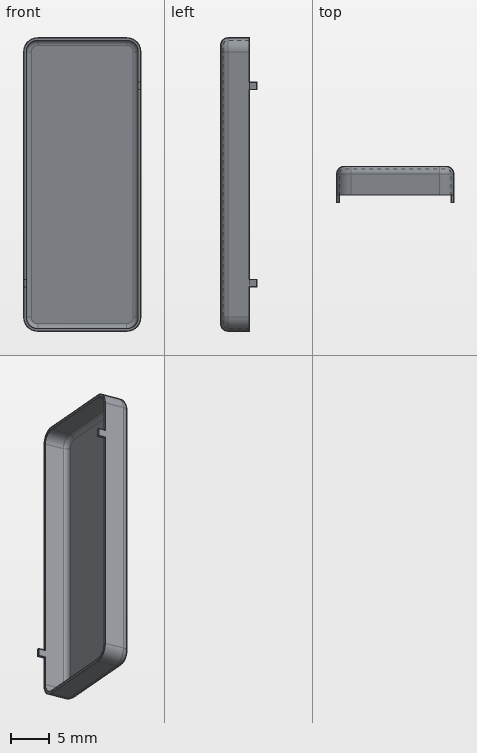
import cadquery as cq

width = 15.1
height = 37.8
total_depth = 4.7

wall = 0.35
corner_radius = 1.8
back_edge_radius = 1.0

tab_length = 1.0
tab_height = 1.0
tab_end_distance = 6.2

tray_depth = total_depth - tab_length
back_y = total_depth / 2
rim_y = back_y - tray_depth


def rounded_block(inset):
    """Block from the rim to the back, inset from the outer faces, with rounded corners and back edge."""
    return (
        cq.Workplane("XZ", origin=(0, rim_y, 0))
        .rect(width - 2 * inset, height - 2 * inset)
        .extrude(-(tray_depth - inset))
        .edges("|Y")
        .fillet(corner_radius - inset)
        .faces(">Y")
        .edges()
        .fillet(back_edge_radius - inset)
    )


def tab(side):
    """Tab on the rim: side +1 is high on the +X wall, side -1 is low on the -X wall."""
    x = side * (width - wall) / 2
    z = side * (height / 2 - tab_end_distance)
    return (
        cq.Workplane("XZ", origin=(x, rim_y, z))
        .rect(wall, tab_height)
        .extrude(tab_length)
    )


tray = rounded_block(0).cut(rounded_block(wall))

result = tray
for side in (-1, 1):
    result = result.union(tab(side))